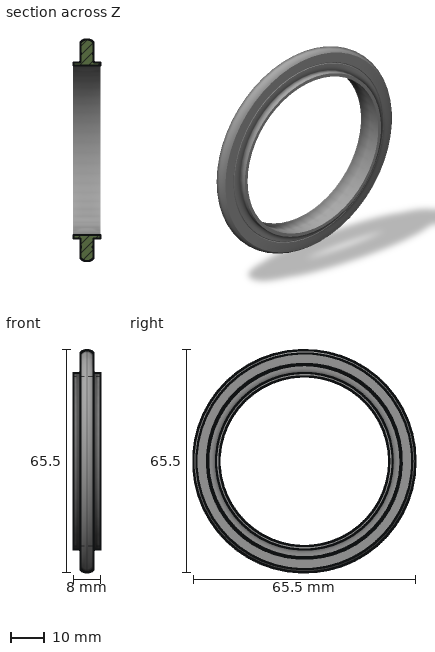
import cadquery as cq
import math

outer_radius = 32.75
ring_width = 8.0
bore_radius = 24.95
sleeve_radius = 26.0

flange_width = 3.9
rim_height = 1.0
root_fillet = 0.2

groove_ring_radius = 28.5
groove_section_radius = 0.2

half_flange = flange_width / 2
rim_base_radius = outer_radius - rim_height

rim_arc_radius = (half_flange**2 + rim_height**2) / (2 * rim_height)
half_rim_angle = math.asin(half_flange / rim_arc_radius) / 2
rim_mid_x = rim_arc_radius * math.sin(half_rim_angle)
rim_mid_radius = outer_radius - rim_arc_radius * (1 - math.cos(half_rim_angle))

fillet_mid_offset = root_fillet * (1 - math.sqrt(0.5))


def centred_cylinder(radius):
    """Cylinder along X, as long as the ring is wide, centred on the origin."""
    start = cq.Workplane("YZ").workplane(offset=-ring_width / 2)
    return start.circle(radius).extrude(ring_width)


def flange_profile():
    """Section of the flange; X runs along the ring's axis and Y is the radius."""
    return (
        cq.Workplane("XY")
        .moveTo(-half_flange - root_fillet, bore_radius)
        .lineTo(-half_flange - root_fillet, sleeve_radius)
        .threePointArc(
            (-half_flange - fillet_mid_offset, sleeve_radius + fillet_mid_offset),
            (-half_flange, sleeve_radius + root_fillet),
        )
        .lineTo(-half_flange, rim_base_radius)
        .threePointArc((-rim_mid_x, rim_mid_radius), (0, outer_radius))
        .threePointArc((rim_mid_x, rim_mid_radius), (half_flange, rim_base_radius))
        .lineTo(half_flange, sleeve_radius + root_fillet)
        .threePointArc(
            (half_flange + fillet_mid_offset, sleeve_radius + fillet_mid_offset),
            (half_flange + root_fillet, sleeve_radius),
        )
        .lineTo(half_flange + root_fillet, bore_radius)
        .close()
    )


def revolve_about_axis(profile):
    return profile.revolve(360, (0, 0, 0), (1, 0, 0))


def groove_cutter(face_x):
    """Torus centred on the flange face, so it leaves a half-round groove."""
    direction = cq.Vector(1, 0, 0)
    return cq.Solid.makeTorus(
        groove_ring_radius, groove_section_radius, cq.Vector(face_x, 0, 0), direction
    )


sleeve = centred_cylinder(sleeve_radius)
flange = revolve_about_axis(flange_profile())
bore = centred_cylinder(bore_radius)
result = sleeve.union(flange).cut(bore)
for flange_face_x in (-half_flange, half_flange):
    result = result.cut(cq.Workplane(obj=groove_cutter(flange_face_x)))